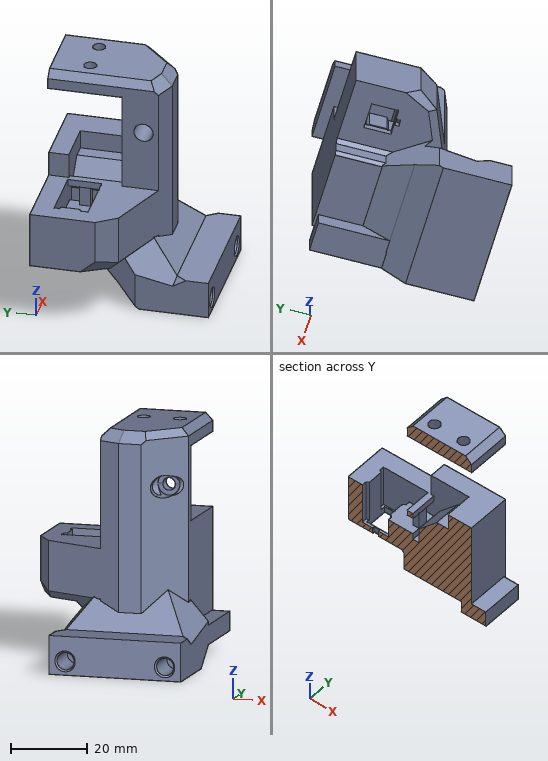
import cadquery as cq
import math

HEIGHT = 63.2
BIG = 189.6

BACK_Y = 45.7
ARM_SIDE_Y = 28.0
ARM_CORNER = (3.7, 22.55)
FRONT_Y = 13.4
FRONT_LEFT_X = 25.7
FRONT_RIGHT_X = 32.0
COLUMN_LEFT_X = 20.05
COLUMN_RIGHT_X = 41.95
COLUMN_BACK_Y = 25.65

ARM_BOTTOM_Z = 15.6
ARM_TOP_Z = 31.2
LEG_BOTTOM_Z = 9.75
PLATE_BOTTOM_Z = 58.2
SIDE_BEVEL = 2.0
FRONT_BEVEL = 3.05

UNDERCUT_Z = 17.7
CORNER_CUT_Z = 19.2
CORNER_CUT_Y = 32.05

POCKET_FRONT_Y = 31.1
POCKET_BACK_Y = 40.25
CHAMBER_TOP_Z = 38.1
CHAMBER_LEFT_X = 21.1
CHAMBER_RIGHT_X = 33.95
SHELF_Z = 32.9
SHELF_LEFT_X = 30.15
BAR_WIDTH = 2.0
BAR_THICKNESS = 1.9
POCKET_FLOOR_Z = 23.9
PIT_WIDTH = 1.85
PIT_DEPTH = 2.0

POCKET_LEFT_X = 4.85
POCKET_STEP_X = 13.65
WAIST_LEFT_X = 5.7
WAIST_RIGHT_X = 12.8
WAIST_BEVEL = 0.6
NOTCH_LENGTH = 1.9
LEDGE_Z = 17.65
HOLE_RIGHT_X = 13.1
HOLE_FRONT_Y = 32.4
HOLE_BACK_Y = 39.8
SLIT_CENTRE_X = 9.3
SLIT_WIDTH = 1.85
SLIT_BACK_Y = 32.2

PILLAR_FRONT_Y = 34.1
PILLAR_WIDTH = 3.05

SCREW_D = 3.4
SCREW_XS = (26.05, 35.95)
SCREW_Y = 35.65
CROSS_Z = 48.3
CROSS_D = 5.2
CROSS_Y = 19.8
BOLT_X = 36.9
BOLT_HEAD_D = 6.0
CROSS_OVERCUT = 0.005

LEG_X = 19.15
LEG_JOINT_Y = 32.05
LEG_FLARE = 1.1
LEG_CHAMFER = 1.0

BASE_LEFT_X = 10.7
BASE_RIGHT_X = 46.8
BASE_TOP_Z = 10.4
BASE_SIDE_BACK_Y = 19.85
RAMP_FOOT_Y = 8.9
RAMP_TOP_Z = 20.85
RAMP_LEFT_X = 12.7
SIDE_FACE_FRONT = (9.6, 8.3)
SIDE_FACE_BACK_Z = 10.35
CORNER_FACET_Y = 6.05
BASE_BACK_Y = 25.3
UNDERSIDE = [(18.8, 0.0), (25.5, 5.2), (32.8, LEG_BOTTOM_Z)]
REAR_PLATE_BACK_Y = 45.0
RAIL_HOLE_D = 4.7
RAIL_HOLE_MOUTH_D = 5.55
RAIL_HOLE_DEPTH = 10.0
RAIL_HOLE_SPACING = 27.3
RAIL_HOLE_Z = 3.7

BASE_CENTRE_X = (BASE_LEFT_X + BASE_RIGHT_X) / 2
BAR_RIGHT_X = COLUMN_LEFT_X + BAR_WIDTH
BAR_BOTTOM_Z = ARM_TOP_Z - BAR_THICKNESS
SLANT_CORNER_Y = FRONT_Y + COLUMN_RIGHT_X - FRONT_RIGHT_X
OUTLINE = [
    (0, BACK_Y),
    (0, ARM_SIDE_Y),
    ARM_CORNER,
    (FRONT_LEFT_X, FRONT_Y),
    (FRONT_RIGHT_X, FRONT_Y),
    (COLUMN_RIGHT_X, SLANT_CORNER_Y),
    (COLUMN_RIGHT_X, BACK_Y),
]
LONG_RUN_X = FRONT_LEFT_X - ARM_CORNER[0]
LONG_RUN_Y = FRONT_Y - ARM_CORNER[1]
LONG_LENGTH = math.hypot(LONG_RUN_X, LONG_RUN_Y)
LONG_OUT = (LONG_RUN_Y / LONG_LENGTH, -LONG_RUN_X / LONG_LENGTH)


def box(x0, x1, y0, y1, z0, z1):
    return cq.Workplane("XY").box(x1 - x0, y1 - y0, z1 - z0, centered=False).translate((x0, y0, z0))


def prism(outline, z0, z1):
    return cq.Workplane("XY").workplane(offset=z0).polyline(outline).close().extrude(z1 - z0)


def prism_along_y(xz_outline, y0, y1):
    return cq.Workplane("XZ", origin=(0, y0, 0)).polyline(xz_outline).close().extrude(y0 - y1)


def prism_along_x(yz_outline, x0, x1):
    return cq.Workplane("YZ", origin=(x0, 0, 0)).polyline(yz_outline).close().extrude(x1 - x0)


def half_space(point, normal):
    """Everything on the side of a plane that its normal points to."""
    plane = cq.Plane(origin=point, normal=normal)
    return cq.Workplane(plane).rect(BIG, BIG).extrude(BIG)


def half_space_through(a, b, c, toward_up):
    """The part above (or below) the plane through three points."""
    normal = (cq.Vector(*b) - cq.Vector(*a)).cross(cq.Vector(*c) - cq.Vector(*a))
    if (normal.z > 0) != toward_up:
        normal = -normal
    return half_space(a, normal.toTuple())


def undercut():
    """Space below the 45 degree underside of the long front face."""
    return half_space((*ARM_CORNER, UNDERCUT_Z), (*LONG_OUT, -1))


def make_arm():
    arm = prism(OUTLINE, ARM_BOTTOM_Z, ARM_TOP_Z)
    corner_cut = half_space_through(
        (0, ARM_SIDE_Y, CORNER_CUT_Z),
        (0, CORNER_CUT_Y, ARM_BOTTOM_Z),
        (*ARM_CORNER, UNDERCUT_Z),
        toward_up=False,
    )
    return arm.cut(undercut()).cut(corner_cut)


def make_column():
    """Column and top plate as a C, bevelled around the top."""
    left_of_column = box(0, COLUMN_LEFT_X, 0, BACK_Y, 0, HEIGHT)
    column = prism(OUTLINE, LEG_BOTTOM_Z, HEIGHT).cut(left_of_column)
    bevels = [
        ((COLUMN_LEFT_X, 0), (-1, 0), SIDE_BEVEL),
        ((COLUMN_RIGHT_X, 0), (1, 0), SIDE_BEVEL),
        ((COLUMN_RIGHT_X, SLANT_CORNER_Y), (math.sqrt(0.5), -math.sqrt(0.5)), SIDE_BEVEL),
        ((FRONT_LEFT_X, FRONT_Y), (0, -1), FRONT_BEVEL),
        ((FRONT_LEFT_X, FRONT_Y), LONG_OUT, FRONT_BEVEL),
    ]
    for edge_point, outward, size in bevels:
        column = column.cut(half_space((*edge_point, HEIGHT - size), (*outward, 1)))
    return column.cut(box(0, BIG, COLUMN_BACK_Y, BIG, CHAMBER_TOP_Z, PLATE_BOTTOM_Z))


def make_leg():
    footprint = [
        (LEG_X, BACK_Y),
        (LEG_X, LEG_JOINT_Y),
        (BASE_LEFT_X, BASE_SIDE_BACK_Y),
        (FRONT_RIGHT_X, FRONT_Y),
        (COLUMN_RIGHT_X, SLANT_CORNER_Y),
        (COLUMN_RIGHT_X, BACK_Y),
    ]
    leg = prism(footprint, LEG_BOTTOM_Z, ARM_BOTTOM_Z).cut(undercut())
    flare = prism_along_y(
        [(LEG_X, ARM_BOTTOM_Z - LEG_FLARE), (LEG_X - LEG_FLARE, ARM_BOTTOM_Z), (LEG_X, ARM_BOTTOM_Z)],
        LEG_JOINT_Y - 2 * LEG_FLARE,
        BACK_Y,
    )
    chamfer = prism_along_y(
        [
            (LEG_X, LEG_BOTTOM_Z),
            (LEG_X, LEG_BOTTOM_Z + LEG_CHAMFER),
            (LEG_X + LEG_CHAMFER, LEG_BOTTOM_Z),
        ],
        LEG_JOINT_Y,
        BACK_Y,
    )
    return leg.cut(chamfer).union(flare)


def chamber():
    """Space behind the column, with a 45 degree ramp that ends in a narrow pit."""
    pit_right_x = BAR_RIGHT_X + PIT_WIDTH
    ramp_foot_z = SHELF_Z - (SHELF_LEFT_X - pit_right_x)
    pit_z = POCKET_FLOOR_Z - PIT_DEPTH
    profile = [
        (COLUMN_LEFT_X, CHAMBER_TOP_Z),
        (COLUMN_LEFT_X, ARM_TOP_Z),
        (BAR_RIGHT_X, ARM_TOP_Z),
        (BAR_RIGHT_X, pit_z),
        (pit_right_x, pit_z),
        (pit_right_x, ramp_foot_z),
        (SHELF_LEFT_X, SHELF_Z),
        (CHAMBER_RIGHT_X, SHELF_Z),
        (CHAMBER_RIGHT_X, CHAMBER_TOP_Z),
    ]
    space = prism_along_y(profile, COLUMN_BACK_Y, POCKET_BACK_Y)
    step = box(COLUMN_LEFT_X, CHAMBER_LEFT_X, POCKET_BACK_Y, BACK_Y, ARM_TOP_Z, CHAMBER_TOP_Z)
    return space.union(step)


def pocket():
    """Slot that runs under the bar, with a waisted well and a through hole at its left end."""
    slot = box(WAIST_RIGHT_X, COLUMN_LEFT_X, POCKET_FRONT_Y, POCKET_BACK_Y, POCKET_FLOOR_Z, ARM_TOP_Z)
    tunnel = box(COLUMN_LEFT_X, BAR_RIGHT_X, POCKET_FRONT_Y, POCKET_BACK_Y, POCKET_FLOOR_Z, BAR_BOTTOM_Z)
    front_notch_y = POCKET_FRONT_Y + NOTCH_LENGTH
    back_notch_y = POCKET_BACK_Y - NOTCH_LENGTH + WAIST_BEVEL
    well = prism(
        [
            (POCKET_LEFT_X, POCKET_FRONT_Y),
            (POCKET_STEP_X, POCKET_FRONT_Y),
            (POCKET_STEP_X, front_notch_y),
            (WAIST_RIGHT_X, front_notch_y + WAIST_BEVEL),
            (WAIST_RIGHT_X, back_notch_y - WAIST_BEVEL),
            (POCKET_STEP_X, back_notch_y),
            (POCKET_STEP_X, POCKET_BACK_Y),
            (POCKET_LEFT_X, POCKET_BACK_Y),
            (POCKET_LEFT_X, back_notch_y),
            (WAIST_LEFT_X, back_notch_y - WAIST_BEVEL),
            (WAIST_LEFT_X, front_notch_y + WAIST_BEVEL),
            (POCKET_LEFT_X, front_notch_y),
        ],
        LEDGE_Z,
        ARM_TOP_Z,
    )
    hole = prism(
        [
            (WAIST_LEFT_X, HOLE_FRONT_Y),
            (HOLE_RIGHT_X, HOLE_FRONT_Y),
            (HOLE_RIGHT_X, HOLE_BACK_Y),
            (WAIST_LEFT_X, HOLE_BACK_Y),
        ],
        0,
        LEDGE_Z,
    )
    slit = box(
        SLIT_CENTRE_X - SLIT_WIDTH / 2,
        SLIT_CENTRE_X + SLIT_WIDTH / 2,
        POCKET_FRONT_Y,
        SLIT_BACK_Y,
        0,
        LEDGE_Z,
    )
    return slot.union(tunnel).union(well).union(hole).union(slit)


def housing_holes():
    screw_points = [(x, SCREW_Y) for x in SCREW_XS]
    screws = (
        cq.Workplane("XY", origin=(0, 0, PLATE_BOTTOM_Z))
        .pushPoints(screw_points)
        .circle(SCREW_D / 2)
        .extrude(HEIGHT - PLATE_BOTTOM_Z)
    )
    cross = (
        cq.Workplane("YZ")
        .center(CROSS_Y, CROSS_Z)
        .circle(CROSS_D / 2)
        .extrude(HEIGHT)
    )
    recess_floor_y = CROSS_Y + CROSS_D / 2 - CROSS_OVERCUT
    bolt_axis = cq.Workplane("XZ").center(BOLT_X, CROSS_Z)
    bolt = bolt_axis.circle(SCREW_D / 2).extrude(-COLUMN_BACK_Y)
    bolt_head = bolt_axis.circle(BOLT_HEAD_D / 2).extrude(-recess_floor_y)
    return [screws, cross, bolt, bolt_head]


def side_slope():
    """Space above the sloping left shoulder of the base, closed off by a small corner facet."""
    front_y, front_z = SIDE_FACE_FRONT
    ramp_corner = (RAMP_LEFT_X, RAMP_FOOT_Y, BASE_TOP_Z)
    side_corner = (BASE_LEFT_X, front_y, front_z)
    above_shoulder = half_space_through(
        ramp_corner,
        side_corner,
        (BASE_LEFT_X, BASE_SIDE_BACK_Y, SIDE_FACE_BACK_Z),
        toward_up=True,
    )
    above_facet = half_space_through(
        ramp_corner,
        side_corner,
        (BASE_LEFT_X, CORNER_FACET_Y, BASE_TOP_Z),
        toward_up=True,
    )
    return above_shoulder.intersect(above_facet)


def rail_holes():
    bore = RAIL_HOLE_D / 2
    mouth = RAIL_HOLE_MOUTH_D / 2
    profile = [(0, 0), (mouth, 0), (bore, mouth - bore), (bore, RAIL_HOLE_DEPTH), (0, RAIL_HOLE_DEPTH)]
    hole = cq.Workplane("XY").polyline(profile).close().revolve(360, (0, 0, 0), (0, 1, 0))
    holes = []
    for side in (-1, 1):
        x = BASE_CENTRE_X + side * RAIL_HOLE_SPACING / 2
        holes.append(hole.translate((x, 0, RAIL_HOLE_Z)))
    return holes


def make_base():
    ramp_top_y = RAMP_FOOT_Y + RAMP_TOP_Z - BASE_TOP_Z
    profile = [
        (0, 0),
        *UNDERSIDE,
        (UNDERSIDE[-1][0], RAMP_TOP_Z),
        (ramp_top_y, RAMP_TOP_Z),
        (RAMP_FOOT_Y, BASE_TOP_Z),
        (0, BASE_TOP_Z),
    ]
    base = prism_along_x(profile, BASE_LEFT_X, BASE_RIGHT_X)
    left_slope = side_slope()
    right_slope = left_slope.mirror("YZ", (BASE_CENTRE_X, 0, 0))
    base = base.cut(left_slope).cut(right_slope)

    side_run_x = LEG_X - BASE_LEFT_X
    side_run_y = LEG_JOINT_Y - BASE_SIDE_BACK_Y
    base = base.cut(half_space((BASE_LEFT_X, BASE_SIDE_BACK_Y, 0), (-side_run_y, side_run_x, 0)))
    base = base.cut(box(COLUMN_RIGHT_X, BIG, BASE_BACK_Y, BIG, 0, HEIGHT))

    plate_left_x = 2 * BASE_CENTRE_X - LEG_X
    plate_bottom_z = UNDERSIDE[1][1]
    plate = box(
        plate_left_x, BASE_RIGHT_X, BASE_BACK_Y, REAR_PLATE_BACK_Y, plate_bottom_z, BASE_TOP_Z
    )
    base = base.union(plate)
    for hole in rail_holes():
        base = base.cut(hole)
    return base


def make_housing():
    housing = make_arm().union(make_column()).union(make_leg()).union(make_base())
    housing = housing.cut(chamber()).cut(pocket())
    for hole in housing_holes():
        housing = housing.cut(hole)
    return housing


def make_pillar():
    """Post that stands on the pocket floor and carries the bar."""
    return box(
        COLUMN_LEFT_X,
        BAR_RIGHT_X,
        PILLAR_FRONT_Y,
        PILLAR_FRONT_Y + PILLAR_WIDTH,
        POCKET_FLOOR_Z,
        BAR_BOTTOM_Z,
    )


housing = make_housing()
pillar = make_pillar()
result = cq.Compound.makeCompound([housing.solids().val(), pillar.val()])